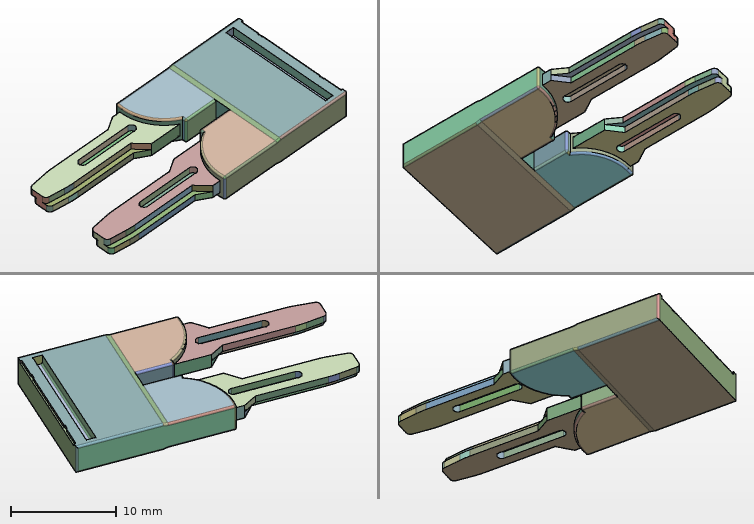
import cadquery as cq
import math

TOTAL_LENGTH = 30.0
TOLERANCE = 0.003

WIDTH = 14.6
HEIGHT = 3.2
LEG_HEIGHT = 2.97
STEP_START = 8.97
STEP_END = 9.48
LEG_GAP = 1.75
LEG_FLAT_WIDTH = 0.5
LEG_FLAT_END = 13.5
LEG_END = 16.55
END_ARC_RADIUS = 5.73
EDGE_RADIUS = 0.2

RECESS_WIDTH = 13.32

SLOT_START = 1.3
SLOT_END = 2.28
SLOT_DEPTH = 1.05
SLOT_FLOOR_RADIUS = 0.18

LEDGE_LENGTH = 0.18
LEDGE_DEPTH = 0.3
NOTCH_WIDTH = 0.55
NOTCH_LENGTH = 0.27

FINGER_PITCH = 8.22
FINGER_CENTERS = (-FINGER_PITCH / 2, FINGER_PITCH / 2)
FINGER_THICKNESS = 1.55
FINGER_ROOT = 12.0
SHOULDER_HALF_WIDTH = 2.6
SHOULDER_END = 17.55
BLADE_LEFT = -1.7
BLADE_RIGHT = 1.17
BLADE_START_LEFT = 19.05
BLADE_START_RIGHT = 18.87
TAPER_START = 27.15
TAPER_BLEND_RADIUS = 9.3
TIP_INSET = 0.35
TIP_RADIUS = 0.48
SPRING_SLOT_LEFT = -0.72
SPRING_SLOT_RIGHT = 0.2
SPRING_SLOT_START = 16.9
SPRING_SLOT_END = 24.4


def box(x_min, x_max, start, end, z_min, z_max):
    """Box between two distances from the back face."""
    size = (x_max - x_min, end - start, z_max - z_min)
    return cq.Workplane("XY").box(*size, centered=False).translate((x_min, -end, z_min))


def side_profile():
    """Full-width solid that steps down in height from the block to the legs."""
    upper = [
        (0, HEIGHT / 2),
        (-STEP_START, HEIGHT / 2),
        (-STEP_END, LEG_HEIGHT / 2),
        (-TOTAL_LENGTH, LEG_HEIGHT / 2),
    ]
    lower = [(y, -z) for y, z in reversed(upper)]
    profile = cq.Workplane("YZ").polyline(upper + lower).close()
    return profile.extrude(WIDTH / 2, both=True)


def half_plan():
    """Right half of the housing, with the leg end rounded by a large arc."""
    outer = WIDTH / 2
    inner = LEG_GAP / 2
    arc_start = inner + LEG_FLAT_WIDTH
    rise = LEG_END - LEG_FLAT_END
    arc_run = math.sqrt(END_ARC_RADIUS**2 - (END_ARC_RADIUS - rise) ** 2)
    arc_center = arc_start + arc_run
    drop_at_side = END_ARC_RADIUS - math.sqrt(END_ARC_RADIUS**2 - (outer - arc_center) ** 2)
    return (
        cq.Workplane("XY")
        .moveTo(0, 0)
        .lineTo(outer, 0)
        .lineTo(outer, -LEG_END + drop_at_side)
        .threePointArc((arc_center, -LEG_END), (arc_start, -LEG_FLAT_END))
        .lineTo(inner, -LEG_FLAT_END)
        .lineTo(inner, -STEP_END)
        .lineTo(0, -STEP_END)
        .close()
        .extrude(HEIGHT, both=True)
    )


def is_rounded(edge):
    """Convex outline edges are rounded; the back rims and the step lines stay sharp."""
    point = edge.Center()
    on_side = abs(abs(point.x) - WIDTH / 2) < TOLERANCE
    on_leg = point.y < -STEP_END - TOLERANCE
    in_leg_corner = abs(abs(point.x) - LEG_GAP / 2 - LEG_FLAT_WIDTH) < TOLERANCE
    return on_side or (on_leg and not in_leg_corner)


def housing():
    half = half_plan()
    plan = half.union(half.mirror("YZ"))
    body = side_profile().intersect(plan).clean()
    rounded_edges = [edge for edge in body.edges().vals() if is_rounded(edge)]
    return body.newObject(rounded_edges).fillet(EDGE_RADIUS)


def blade():
    """Upper blade outline: wide shoulder, straight stretch, then a blended taper to a rounded tip."""
    shoulder = SHOULDER_HALF_WIDTH
    outline = [
        (-shoulder, -FINGER_ROOT),
        (-shoulder, -SHOULDER_END),
        (BLADE_LEFT, -BLADE_START_LEFT),
        (BLADE_LEFT, -TAPER_START),
        (BLADE_LEFT + TIP_INSET, -TOTAL_LENGTH),
        (BLADE_RIGHT - TIP_INSET, -TOTAL_LENGTH),
        (BLADE_RIGHT, -TAPER_START),
        (BLADE_RIGHT, -BLADE_START_RIGHT),
        (shoulder, -SHOULDER_END),
        (shoulder, -FINGER_ROOT),
    ]
    solid = cq.Workplane("XY").polyline(outline).close().extrude(FINGER_THICKNESS / 2)
    solid = solid.edges("|Z and <Y").fillet(TIP_RADIUS)
    taper_edges = [
        edge for edge in solid.edges("|Z").vals()
        if abs(edge.Center().y + TAPER_START) < TOLERANCE
    ]
    return solid.newObject(taper_edges).fillet(TAPER_BLEND_RADIUS)


def spring_slot():
    center_x = (SPRING_SLOT_LEFT + SPRING_SLOT_RIGHT) / 2
    center_y = -(SPRING_SLOT_START + SPRING_SLOT_END) / 2
    length = SPRING_SLOT_END - SPRING_SLOT_START
    width = SPRING_SLOT_RIGHT - SPRING_SLOT_LEFT
    slot = cq.Workplane("XY").center(center_x, center_y).slot2D(length, width, 90)
    return slot.extrude(FINGER_THICKNESS / 2)


def finger():
    upper = blade().cut(spring_slot())
    lower = upper.rotate((0, 0, 0), (0, 1, 0), 180)
    return upper.union(lower)


def marking_slot():
    floor = HEIGHT / 2 - SLOT_DEPTH
    half_width = RECESS_WIDTH / 2
    slot = box(-half_width, half_width, SLOT_START, SLOT_END, floor, HEIGHT / 2)
    return slot.edges("<Y and <Z").fillet(SLOT_FLOOR_RADIUS)


def back_ledge():
    half_width = RECESS_WIDTH / 2
    floor = HEIGHT / 2 - LEDGE_DEPTH
    ledge = box(-half_width, half_width, 0, LEDGE_LENGTH, floor, HEIGHT / 2)
    for x in FINGER_CENTERS:
        notch = box(x - NOTCH_WIDTH / 2, x + NOTCH_WIDTH / 2, 0, NOTCH_LENGTH, floor, HEIGHT / 2)
        ledge = ledge.union(notch)
    return ledge


result = housing().cut(marking_slot()).cut(back_ledge())
for x in FINGER_CENTERS:
    result = result.union(finger().translate((x, 0, 0)))